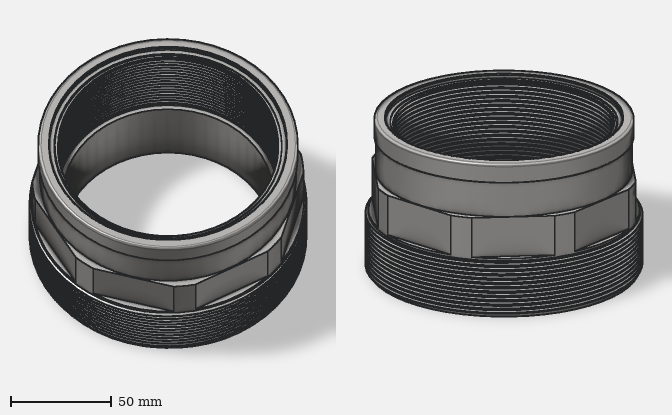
import cadquery as cq
import math

TOTAL_HEIGHT = 80.7
THREADED_END_HEIGHT = 31.1
OCTAGON_TOP = 52.2
CAP_BOTTOM = 70.6
SEAT_HEIGHT = 78.4
SOCKET_FLOOR = 37.0

MALE_MAJOR_RADIUS = 138.4 / 2
MALE_ROOT_RADIUS = 135.5 / 2
OCTAGON_CORNER_RADIUS = MALE_ROOT_RADIUS
OCTAGON_ACROSS_FLATS = 129.0
OCTAGON_SIDES = 8
BARREL_RADIUS = 128.2 / 2
SPIGOT_RADIUS = 128.0 / 2

MOUTH_RADIUS = 118.4 / 2
LEAD_IN_RADIUS = 113.7 / 2
LEAD_IN_DEPTH = 0.5
FEMALE_MAJOR_RADIUS = 113.1 / 2
FEMALE_MINOR_RADIUS = 110.0 / 2
BORE_RADIUS = 105.0 / 2

CAP_RADIUS = 129.7 / 2
CAP_WALL = CAP_RADIUS - SPIGOT_RADIUS
CAP_LIP_RADIUS = 119 / 2
CAP_EDGE_FILLET = 1.4
SPIGOT_EDGE_FILLET = CAP_EDGE_FILLET - CAP_WALL
SPIGOT_HEIGHT = TOTAL_HEIGHT - CAP_WALL

PITCH = 27.7 / 12
CREST_WIDTH = 0.2 * PITCH
MALE_BASE_WIDTH = 0.8 * PITCH
MALE_START = -0.7
MALE_TURNS = 14
MALE_THREAD_BOTTOM = 1.5
MALE_THREAD_TOP = 29.9
FEMALE_MOUTH_WIDTH = 0.8 * PITCH
FEMALE_START = 34.9
FEMALE_TURNS = 19
FEMALE_THREAD_BOTTOM = 37.4
FEMALE_THREAD_TOP = 77.4
OVERLAP = 0.1


def cylinder(radius, bottom, top):
    return cq.Workplane("XY").workplane(offset=bottom).circle(radius).extrude(top - bottom)


def helical_thread(wall_radius, tip_radius, base_width, start, turns):
    """Sweep a tapered tooth, wide at the wall and narrow at the tip, along a helix."""
    direction = math.copysign(1, tip_radius - wall_radius)
    slope = (base_width - CREST_WIDTH) / abs(tip_radius - wall_radius)
    root_radius = wall_radius - direction * OVERLAP
    root_half = (base_width + slope * OVERLAP) / 2
    tip_half = CREST_WIDTH / 2
    path = cq.Wire.makeHelix(PITCH, PITCH * turns, wall_radius)
    tooth = (
        cq.Workplane("XZ")
        .moveTo(root_radius, -root_half)
        .lineTo(tip_radius, -tip_half)
        .lineTo(tip_radius, tip_half)
        .lineTo(root_radius, root_half)
        .close()
    )
    return tooth.sweep(cq.Workplane(path), isFrenet=True).translate((0, 0, start))


def octagon_grip():
    """Octagonal wrench grip whose corners are turned down to the thread root."""
    corner_diameter = OCTAGON_ACROSS_FLATS / math.cos(math.pi / OCTAGON_SIDES)
    prism = (
        cq.Workplane("XY")
        .workplane(offset=THREADED_END_HEIGHT)
        .transformed(rotate=(0, 0, 180 / OCTAGON_SIDES))
        .polygon(OCTAGON_SIDES, corner_diameter)
        .extrude(OCTAGON_TOP - THREADED_END_HEIGHT)
    )
    return prism.intersect(cylinder(OCTAGON_CORNER_RADIUS, THREADED_END_HEIGHT, OCTAGON_TOP))


def male_thread():
    """Ridge around the lower end, trimmed flat at both ends."""
    ridge = helical_thread(
        MALE_ROOT_RADIUS, MALE_MAJOR_RADIUS, MALE_BASE_WIDTH, MALE_START, MALE_TURNS
    )
    return ridge.intersect(cylinder(MALE_MAJOR_RADIUS + OVERLAP, MALE_THREAD_BOTTOM, MALE_THREAD_TOP))


def female_groove():
    """Groove cut into the socket wall, trimmed flat at both ends."""
    groove = helical_thread(
        FEMALE_MINOR_RADIUS, FEMALE_MAJOR_RADIUS, FEMALE_MOUTH_WIDTH, FEMALE_START, FEMALE_TURNS
    )
    return groove.intersect(
        cylinder(FEMALE_MAJOR_RADIUS + OVERLAP, FEMALE_THREAD_BOTTOM, FEMALE_THREAD_TOP)
    )


def spigot():
    """Upper end of the housing, rounded to match the inside corner of the cap ring."""
    post = cylinder(SPIGOT_RADIUS, CAP_BOTTOM, SPIGOT_HEIGHT)
    return post.faces(">Z").edges().fillet(SPIGOT_EDGE_FILLET)


def lower_end():
    """Male-threaded end around the plain bore."""
    tube = cylinder(MALE_ROOT_RADIUS, 0, THREADED_END_HEIGHT).cut(
        cylinder(BORE_RADIUS, 0, THREADED_END_HEIGHT)
    )
    return tube.union(male_thread())


def upper_end():
    """Octagon, barrel and spigot around the stepped, female-threaded socket."""
    outside = octagon_grip().union(cylinder(BARREL_RADIUS, OCTAGON_TOP, CAP_BOTTOM)).union(spigot())
    socket = (
        outside.cut(cylinder(BORE_RADIUS, THREADED_END_HEIGHT, TOTAL_HEIGHT))
        .cut(cylinder(FEMALE_MINOR_RADIUS, SOCKET_FLOOR, TOTAL_HEIGHT))
        .cut(cylinder(LEAD_IN_RADIUS, SEAT_HEIGHT - LEAD_IN_DEPTH, TOTAL_HEIGHT))
        .cut(cylinder(MOUTH_RADIUS, SEAT_HEIGHT, TOTAL_HEIGHT))
    )
    return socket.cut(female_groove())


def make_cap_ring():
    """Ring over the spigot, with a lip that turns in towards the mouth."""
    disc = cylinder(CAP_RADIUS, CAP_BOTTOM, TOTAL_HEIGHT)
    rounded_disc = disc.faces(">Z").edges().fillet(CAP_EDGE_FILLET)
    return rounded_disc.cut(spigot()).cut(cylinder(CAP_LIP_RADIUS, CAP_BOTTOM, TOTAL_HEIGHT))


housing = lower_end().union(upper_end())
cap_ring = make_cap_ring()
result = cq.Compound.makeCompound([housing.val(), cap_ring.val()])